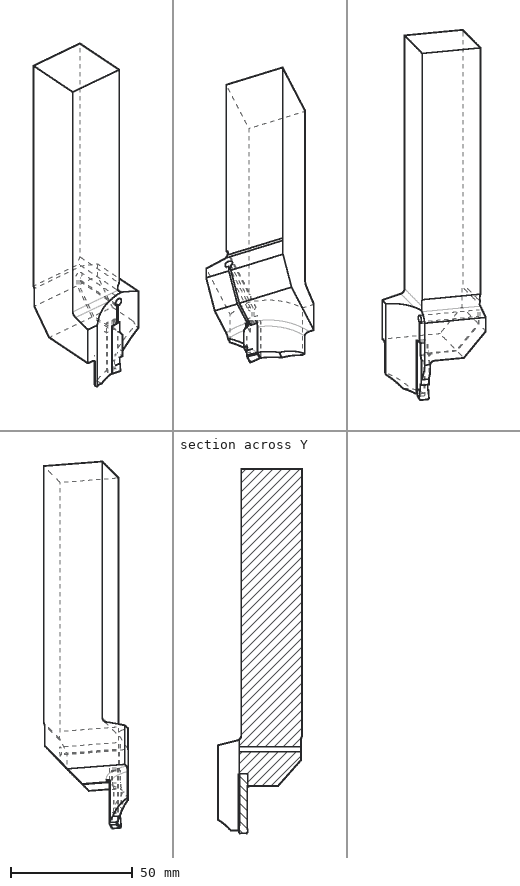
import cadquery as cq

total_height = 150.0
shank_width = 25.0

head_right = 34.6
head_back = 34.0
head_left = 0.5
head_bottom = 19.6
head_left_step_top = 40.2
head_left_step_bottom = 39.2
head_shoulder = 38.8
head_right_top = 36.5
head_back_top = 36.3
head_bevel_x = 9.9
head_bevel_z = 30.3
shoulder_fillet = 2.1

relief_depth = 0.9
relief_top = 43.5
relief_mid = 41.4
relief_foot_y = 26.2

inner_radius = 29.1
inner_vertex_x = 25.6
inner_center_y = 26.1
outer_radius = 23.7
outer_vertex_x = 22.5
outer_center_y = 24.8
blade_bottom = 1.4
blade_bevel_y = 12.0
blade_bevel_end_y = 4.0
blade_bevel_end_z = 6.5
jaw_tip_z = 9.3
jaw_back_z = 18.2
root_fillet = 1.8

slit_y = 23.5
slit_width = 0.9
slit_hole_y = 24.0
slit_hole_z = 34.8
slit_hole_radius = 1.6

insert_left = outer_vertex_x
insert_right = 25.8
insert_seat_y = 20.2
insert_clamp_y = 26.2
insert_rake_y = 24.8
insert_top = 24.6
insert_neck_top = 19.5
insert_neck_bottom = 17.5
insert_rake_z = 6.9
tip_height = 4.0
tip_overhang = 0.5
tip_heel_z = 0.3
tip_corner = 0.5
tip_back_taper = 0.22


def along_x(points, start, end):
    """Prism along X from a closed outline of (Y, Z) points."""
    return cq.Workplane("YZ").workplane(offset=start).polyline(points).close().extrude(end - start)


def along_y(points, start, end):
    """Prism along Y from a closed outline of (X, Z) points."""
    return cq.Workplane("XZ", origin=(0, start, 0)).polyline(points).close().extrude(start - end)


def vertical_cylinder(vertex_x, center_y, radius, top):
    """Upright cylinder standing on Z = 0 whose leftmost line is at vertex_x."""
    return cq.Workplane("XY").center(vertex_x + radius, center_y).circle(radius).extrude(top)


def make_shank_and_head():
    outline = [
        (0, total_height),
        (shank_width, total_height),
        (shank_width, head_shoulder),
        (head_right, head_right_top),
        (head_right, head_bottom),
        (head_bevel_x, head_bottom),
        (head_left, head_bevel_z),
        (head_left, head_left_step_bottom),
        (0, head_left_step_top),
    ]
    body = along_y(outline, 0, head_back)
    inner_corner = cq.selectors.NearestToPointSelector((shank_width, head_back / 2, head_shoulder))
    body = body.edges("|Y").edges(inner_corner).fillet(shoulder_fillet)
    side_outline = (
        cq.Workplane("YZ")
        .moveTo(0, head_bottom)
        .lineTo(head_back, head_bottom)
        .lineTo(head_back, head_back_top)
        .lineTo(relief_foot_y, head_shoulder)
        .threePointArc((shank_width - relief_depth, relief_mid), (shank_width, relief_top))
        .lineTo(shank_width, total_height)
        .lineTo(0, total_height)
        .close()
        .extrude(head_right)
    )
    return body.intersect(side_outline)


def make_blade():
    side_outline = [
        (0, head_bottom),
        (head_back, head_bottom),
        (head_back, jaw_back_z),
        (insert_clamp_y, jaw_tip_z),
        (insert_clamp_y, blade_bottom),
        (blade_bevel_y, blade_bottom),
        (blade_bevel_end_y, blade_bevel_end_z),
        (0, blade_bevel_end_z),
    ]
    column = vertical_cylinder(outer_vertex_x, outer_center_y, outer_radius, head_bottom)
    return column.intersect(along_x(side_outline, 0, head_right))


def make_root_joint(body):
    """Fillet the edge where the outer side of the blade meets the head."""
    edge_point = (outer_vertex_x, outer_center_y, head_bottom)
    return body.edges(cq.selectors.NearestToPointSelector(edge_point)).fillet(root_fillet)


def make_slit():
    slot = (
        cq.Workplane("XY")
        .box(head_right, slit_width, slit_hole_z - head_bottom, centered=(False, True, False))
        .translate((0, slit_y, head_bottom))
    )
    hole = cq.Workplane("YZ").center(slit_hole_y, slit_hole_z).circle(slit_hole_radius).extrude(head_right)
    return slot.union(hole)


def make_insert_pocket():
    """Seat inside the head, open to the inner side, and a gap through the blade."""
    seat = along_x(
        [
            (insert_seat_y, insert_top),
            (insert_rake_y, insert_top),
            (insert_rake_y, head_bottom),
            (insert_seat_y, head_bottom),
        ],
        insert_left,
        head_right,
    )
    gap = along_x(
        [
            (insert_seat_y, head_bottom),
            (insert_rake_y, head_bottom),
            (insert_rake_y, insert_neck_top),
            (insert_clamp_y, insert_neck_bottom),
            (insert_clamp_y, 0),
            (insert_seat_y, 0),
        ],
        0,
        head_right,
    )
    return seat.union(gap)


def make_holder():
    body = make_root_joint(make_shank_and_head().union(make_blade()))
    inner_side = vertical_cylinder(inner_vertex_x, inner_center_y, inner_radius, head_left_step_top)
    return body.cut(inner_side).cut(make_slit()).cut(make_insert_pocket())


def make_insert():
    bar_bottom = tip_heel_z + tip_corner
    bar = along_x(
        [
            (insert_seat_y, insert_top),
            (insert_rake_y, insert_top),
            (insert_rake_y, insert_neck_top),
            (insert_clamp_y, insert_neck_bottom),
            (insert_clamp_y, insert_rake_z),
            (insert_rake_y, insert_rake_z),
            (insert_rake_y, bar_bottom),
            (insert_seat_y, bar_bottom),
        ],
        insert_left,
        insert_right,
    )
    return bar.union(make_cutting_tip())


def make_cutting_tip():
    """Tip that is widest at the lower end of its rake face and narrows upward and toward the seat."""

    def section(y, overhang, bottom):
        left = insert_left - overhang
        right = insert_right + overhang
        outline = [
            (left + tip_back_taper, tip_height),
            (right - tip_back_taper, tip_height),
            (right, bottom + tip_corner),
            (right - tip_corner, bottom),
            (left + tip_corner, bottom),
            (left, bottom + tip_corner),
        ]
        return cq.Wire.makePolygon([cq.Vector(x, y, z) for x, z in outline], close=True)

    rake_face = section(insert_rake_y, tip_overhang, 0)
    heel_face = section(insert_seat_y, 0, tip_heel_z)
    return cq.Workplane(cq.Solid.makeLoft([rake_face, heel_face], True))


holder = make_holder()
insert = make_insert()
result = cq.Compound.makeCompound([holder.solids().val(), insert.solids().val()])